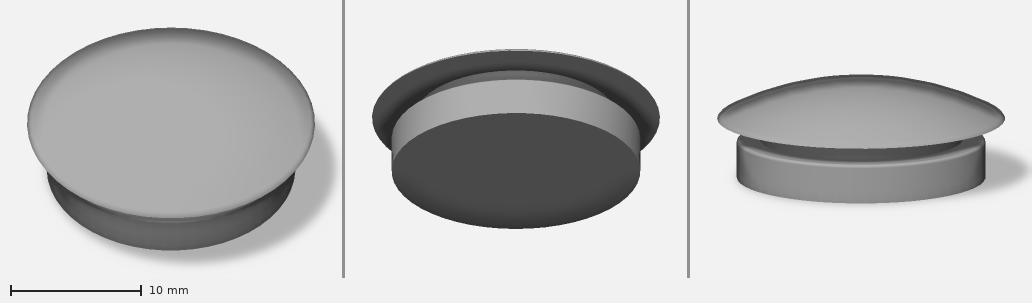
import cadquery as cq

cap_diameter = 22.0
neck_diameter = 15.5
plug_diameter = 19.0

total_height = 7.5
plug_height = 3.0
neck_height = 1.6
rim_height = 0.3

rim_inset = 0.3
plug_fillet = 0.25

cap_radius = cap_diameter / 2
cap_bottom = plug_height + neck_height
dome_base_radius = cap_radius - rim_inset
dome_base = cap_bottom + rim_height
dome_rise = total_height - dome_base

dome_radius = (dome_base_radius**2 + dome_rise**2) / (2 * dome_rise)
dome_mid_x = dome_base_radius / 2
dome_mid_z = total_height - dome_radius + (dome_radius**2 - dome_mid_x**2) ** 0.5


def make_plug():
    """Cylindrical plug with a rounded upper edge."""
    plug = cq.Workplane("XY").circle(plug_diameter / 2).extrude(plug_height)
    return plug.faces(">Z").edges().fillet(plug_fillet)


def make_neck():
    """Narrow neck joining the plug to the cap."""
    return cq.Workplane("XY").workplane(offset=plug_height).circle(neck_diameter / 2).extrude(neck_height)


def make_cap():
    """Domed cap with a rim that curves smoothly out of the dome, revolved about Z."""
    profile = (
        cq.Workplane("XZ")
        .moveTo(0, total_height)
        .threePointArc((dome_mid_x, dome_mid_z), (dome_base_radius, dome_base))
        .tangentArcPoint((cap_radius, cap_bottom), relative=False)
        .lineTo(0, cap_bottom)
        .close()
    )
    return profile.revolve(360, (0, 0, 0), (0, 1, 0))


result = make_plug().union(make_neck()).union(make_cap())